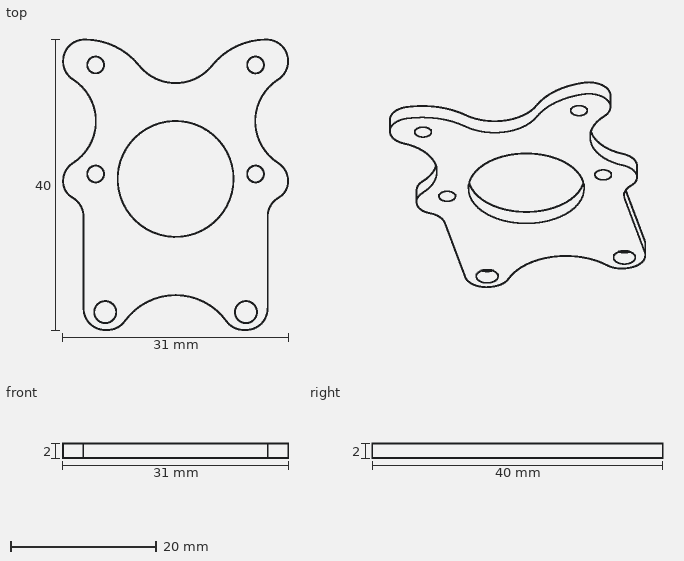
import cadquery as cq
import math

thickness = 2.0
top_y = 19.2
bottom_y = top_y - 40.0
ear_half_width = 31.0 / 2
body_half_width = 12.7

bore_diameter = 15.9
ear_hole_diameter = 2.3
ear_hole_x = 11.0
upper_ear_hole_y = 15.7
lower_ear_hole_y = upper_ear_hole_y - 15.0
foot_hole_diameter = 3.0
foot_hole_x = 9.7
foot_hole_y = -18.3

corner_radius = 3.0
ear_underside_radius = 2.6
neck_radius = 3.0
side_notch_radius = 6.8
shoulder_radius = 9.6
valley_y = 13.2
arch_radius = 8.6
arch_crown_y = -16.0
lower_ear_y = -0.3

ear_x = ear_half_width - corner_radius
upper_ear = (ear_x, top_y - corner_radius)
lower_ear = (ear_x, lower_ear_y)
ear_underside = (ear_half_width - ear_underside_radius, lower_ear_y)
shoulder = (ear_x, top_y - shoulder_radius)

valley_offset = valley_y - shoulder[1]
valley_radius = (ear_x**2 + valley_offset**2 - shoulder_radius**2) / (2 * (shoulder_radius - valley_offset))
valley = (0, valley_y + valley_radius)

notch_y = (upper_ear[1] + lower_ear[1]) / 2
notch_reach = math.sqrt((side_notch_radius + corner_radius)**2 - (upper_ear[1] - notch_y)**2)
side_notch = (ear_x + notch_reach, notch_y)

neck_x = body_half_width + neck_radius
neck_drop = math.sqrt((neck_radius + ear_underside_radius)**2 - (neck_x - ear_underside[0])**2)
neck = (neck_x, lower_ear_y - neck_drop)

foot_y = bottom_y + corner_radius
outer_foot = (body_half_width - corner_radius, foot_y)
arch = (0, arch_crown_y - arch_radius)
inner_foot_x = math.sqrt((arch_radius + corner_radius)**2 - (foot_y - arch[1])**2)
inner_foot = (inner_foot_x, foot_y)


def toward(center, target, radius):
    """Point on a circle in the direction of another point."""
    distance = math.dist(center, target)
    return tuple(c + (t - c) * radius / distance for c, t in zip(center, target))


def arc_to(path, center, radius, end):
    """Extend the path by the shorter arc about a center."""
    start = path.val().endPoint()
    middle = ((start.x + end[0]) / 2, (start.y + end[1]) / 2)
    return path.threePointArc(toward(center, middle, radius), end)


def half_plate():
    """The +X half of the plate, closed along the symmetry line."""
    path = cq.Workplane("XY").moveTo(0, arch_crown_y).lineTo(0, valley_y)
    path = arc_to(path, valley, valley_radius, toward(valley, shoulder, valley_radius))
    path = arc_to(path, shoulder, shoulder_radius, (ear_x, top_y))
    path = arc_to(path, upper_ear, corner_radius, (ear_half_width, upper_ear[1]))
    path = arc_to(path, upper_ear, corner_radius, toward(upper_ear, side_notch, corner_radius))
    path = arc_to(path, side_notch, side_notch_radius, toward(side_notch, lower_ear, side_notch_radius))
    path = arc_to(path, lower_ear, corner_radius, (ear_half_width, lower_ear_y))
    underside_end = toward(ear_underside, neck, ear_underside_radius)
    path = arc_to(path, ear_underside, ear_underside_radius, underside_end)
    path = arc_to(path, neck, neck_radius, (body_half_width, neck[1]))
    path = path.lineTo(body_half_width, foot_y)
    path = arc_to(path, outer_foot, corner_radius, (outer_foot[0], bottom_y))
    path = path.lineTo(inner_foot_x, bottom_y)
    path = arc_to(path, inner_foot, corner_radius, toward(inner_foot, arch, corner_radius))
    path = arc_to(path, arch, arch_radius, (0, arch_crown_y))
    return path.close().extrude(thickness)


def mirrored_pair(x, y):
    return [(-x, y), (x, y)]


right_half = half_plate()
plate = right_half.union(right_half.mirror("YZ")).clean()

ear_holes = mirrored_pair(ear_hole_x, upper_ear_hole_y) + mirrored_pair(ear_hole_x, lower_ear_hole_y)
foot_holes = mirrored_pair(foot_hole_x, foot_hole_y)
hole_groups = [
    (bore_diameter, [(0, 0)]),
    (ear_hole_diameter, ear_holes),
    (foot_hole_diameter, foot_holes),
]
for diameter, centers in hole_groups:
    drill = cq.Workplane("XY").pushPoints(centers).circle(diameter / 2).extrude(thickness)
    plate = plate.cut(drill)

result = plate